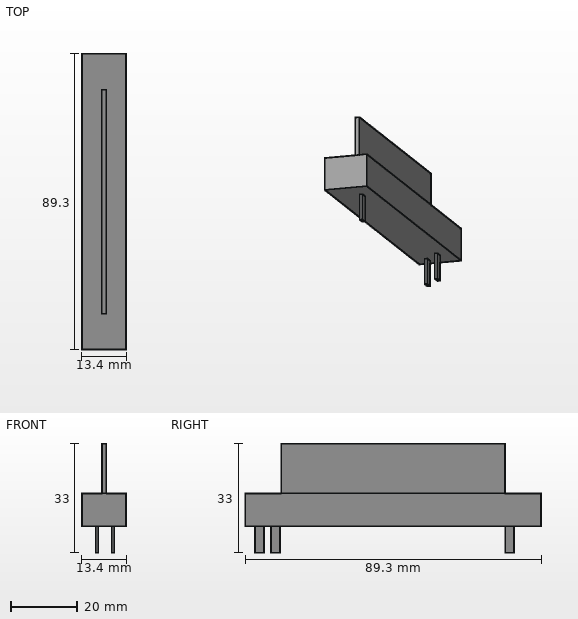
import cadquery as cq

body_width = 13.4
body_length = 89.3
body_height = 10.0

blade_thickness = 1.3
blade_length = 67.6
blade_height = 15.0

pin_thickness = 0.8
pin_width = 2.8
pin_length = 7.95
left_pin_x = -2.1
right_pin_x = 2.7
end_pin_y = -40.3
inner_pin_y = -35.5
far_pin_y = 35.2
pin_centers = [
    (left_pin_x, inner_pin_y),
    (right_pin_x, end_pin_y),
    (left_pin_x, far_pin_y),
]

body = cq.Workplane("XY").box(body_width, body_length, body_height, centered=(True, True, False))

blade = (
    cq.Workplane("XY", origin=(0, 0, body_height))
    .rect(blade_thickness, blade_length)
    .extrude(blade_height)
)

pins = (
    cq.Workplane("XY")
    .pushPoints(pin_centers)
    .rect(pin_thickness, pin_width)
    .extrude(-pin_length)
)

result = body.union(blade).union(pins)